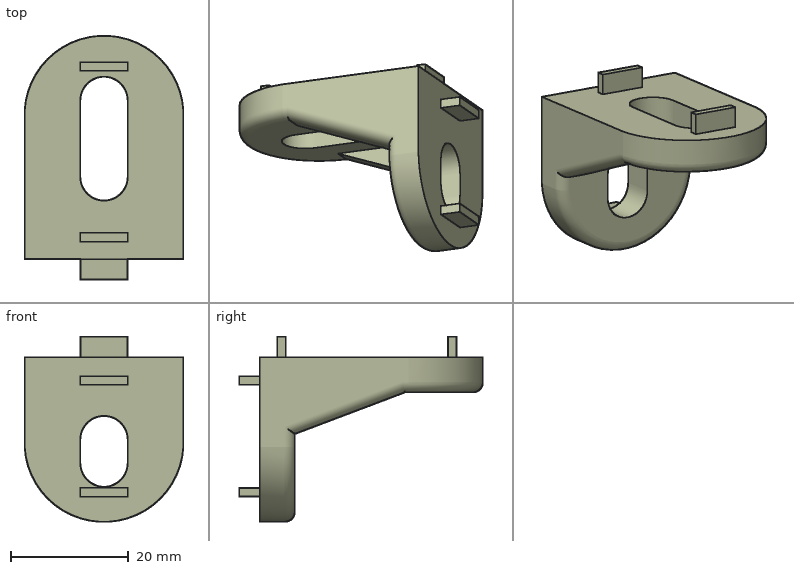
import cadquery as cq


width = 27.0
plate_thickness = 6.0
arm_length = 37.95
arm_drop = 28.0
end_rise = 12.7
inner_fillet = 1.75

rib_thickness = 5.0
rib_reach = 24.65
rib_drop = 13.05

slot_width = 8.0
arm_slot = (9.95, 30.95)
drop_slot = (10.0, 22.0)

tab_width = slot_width
tab_thickness = 1.5
tab_height = 3.5
arm_tabs = (2.95, 31.95)
drop_tabs = (3.2, 22.2)

arm_plane = cq.Workplane("XY")
drop_plane = cq.Workplane("XZ")
AWAY_ON_ARM = 1
AWAY_ON_DROP = -1


def end_rounded_block(plane, away, length, depth):
    """Block behind an outer face, with straight sides and a round far end."""
    half_width = width / 2
    side_end = away * (length - end_rise)
    return (
        plane.moveTo(-half_width, 0)
        .lineTo(half_width, 0)
        .lineTo(half_width, side_end)
        .threePointArc((0, away * length), (-half_width, side_end))
        .close()
        .extrude(-depth)
    )


def make_body():
    """Bracket profile across the full width, trimmed to both arm outlines."""
    profile = (
        cq.Workplane("YZ")
        .polyline(
            [
                (0, 0),
                (arm_length, 0),
                (arm_length, -plate_thickness),
                (rib_reach, -plate_thickness),
                (plate_thickness, -rib_drop),
                (plate_thickness, -arm_drop),
                (0, -arm_drop),
            ]
        )
        .close()
        .extrude(width / 2, both=True)
    )
    arm_block = end_rounded_block(arm_plane, AWAY_ON_ARM, arm_length, arm_drop)
    drop_block = end_rounded_block(drop_plane, AWAY_ON_DROP, arm_drop, arm_length)
    return profile.intersect(arm_block).intersect(drop_block)


def round_inner_rim(body):
    """Fillet the rim of the inner faces, leaving the creases between them sharp."""
    slope_normal = cq.Vector(
        0,
        rib_drop - plate_thickness,
        plate_thickness - rib_reach,
    )
    plate_faces = cq.selectors.StringSyntaxSelector("-Z or +Y")
    slope_face = cq.selectors.ParallelDirSelector(slope_normal)
    rim = body.faces(plate_faces + slope_face).edges("not |X")
    return rim.fillet(inner_fillet)


def make_channel():
    """Cutter for the space between the ribs, flush with the inner plate faces."""
    return cq.Workplane("XY").box(
        width - 2 * rib_thickness,
        arm_length,
        arm_drop,
        centered=(True, False, False),
    ).translate((0, plate_thickness, -plate_thickness - arm_drop))


def make_slot(plane, away, slot):
    """Cutter for a lengthwise slot through the plate behind an outer face."""
    near, far = slot
    return (
        plane.center(0, away * (near + far) / 2)
        .slot2D(far - near, slot_width, 90)
        .extrude(-plate_thickness)
    )


def make_tab(plane, away, near):
    """Crosswise tab standing on an outer face."""
    return (
        plane.center(0, away * (near + tab_thickness / 2))
        .rect(tab_width, tab_thickness)
        .extrude(tab_height)
    )


result = round_inner_rim(make_body())
result = result.cut(make_channel())
result = result.cut(make_slot(arm_plane, AWAY_ON_ARM, arm_slot))
result = result.cut(make_slot(drop_plane, AWAY_ON_DROP, drop_slot))

for near_side in arm_tabs:
    result = result.union(make_tab(arm_plane, AWAY_ON_ARM, near_side))
for near_side in drop_tabs:
    result = result.union(make_tab(drop_plane, AWAY_ON_DROP, near_side))